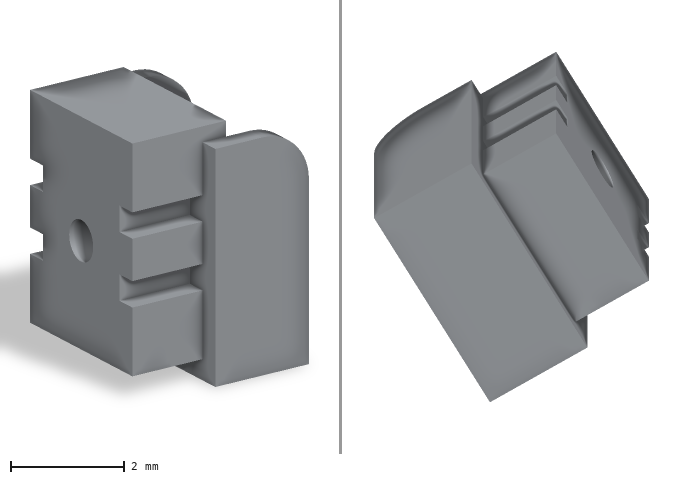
import math
import cadquery as cq

width = 4.0
frame_depth = 2.0
cheek_height = 4.5
wall = 0.4
cheek_radius = 1.0

block_width = width - 2 * wall
block_depth = 2.0
block_overhang = 1.5
block_bottom = wall
block_top = 4.8

groove_height = 0.5
groove_inset = 0.4
groove_bottoms = (1.7, 3.0)

hole_diameter = 0.75
hole_tilt = 18.7
hole_center_z = 2.455

block_front = -block_depth / 2
frame_front = block_front + block_overhang


def box(x_min, y_min, z_min, x_size, y_size, z_size):
    """Box placed by its lowest corner."""
    return cq.Workplane("XY").box(x_size, y_size, z_size, centered=False).translate((x_min, y_min, z_min))


def cheek(x_min):
    """Side plate with its upper back corner rounded."""
    plate = box(x_min, frame_front, 0, wall, frame_depth, cheek_height)
    return plate.edges(">Y and >Z").fillet(cheek_radius)


def make_frame():
    floor = box(-width / 2, frame_front, 0, width, frame_depth, wall)
    return floor.union(cheek(-width / 2)).union(cheek(width / 2 - wall))


def make_block():
    block = box(
        -block_width / 2, block_front, block_bottom,
        block_width, block_depth, block_top - block_bottom,
    )
    for groove_bottom in groove_bottoms:
        for x_min in (-block_width / 2, block_width / 2 - groove_inset):
            block = block.cut(
                box(x_min, block_front, groove_bottom, groove_inset, block_overhang, groove_height)
            )
    return block.cut(sloping_hole())


def sloping_hole():
    """Cylinder whose axis meets the block's front face at the hole center."""
    tilt = math.radians(hole_tilt)
    axis = cq.Vector(0, math.cos(tilt), -math.sin(tilt))
    entry = cq.Vector(0, block_front, hole_center_z)
    half_length = 2 * block_depth
    start = entry - axis * half_length
    return cq.Workplane(cq.Solid.makeCylinder(hole_diameter / 2, 2 * half_length, start, axis))


result = make_frame().union(make_block())